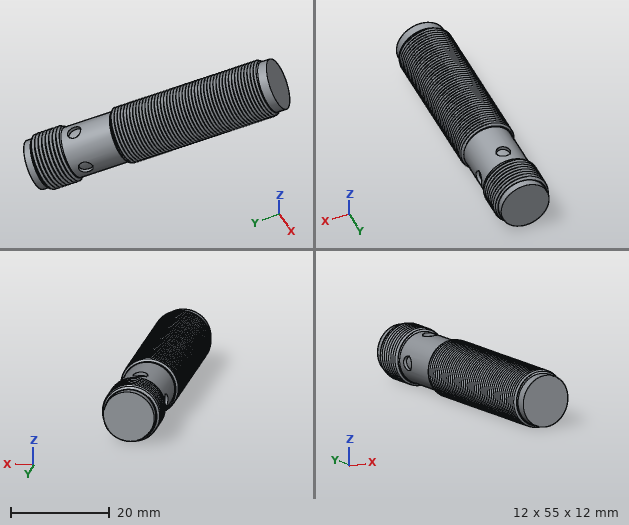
import cadquery as cq
import math

length = 55.0

body_radius = 5.4
collar_radius = 5.3
nose_length = 2.0
collar_length = 1.55

major_radius = 6.0
long_thread_start = nose_length
long_thread_end = 35.55
long_thread_turns = 48
short_thread_start = 46.5
short_thread_end = length - collar_length
short_thread_turns = 8.7
thread_root_radius = 5.45
long_thread_pitch = (long_thread_end - long_thread_start) / long_thread_turns
short_thread_pitch = (short_thread_end - short_thread_start) / short_thread_turns

recess_radius = 1.5
recess_y = 43.5
recess_depth = 0.7
recess_count = 4


def rod(start, end, radius):
    """Cylinder along +Y between two stations."""
    plane = cq.Plane(origin=(0, start, 0), xDir=(1, 0, 0), normal=(0, 1, 0))
    return cq.Workplane(plane).circle(radius).extrude(end - start)


def thread_bar(pitch, turns):
    """Right-handed V-threaded bar along +Z, each end finished as one turn of a spiral ramp."""
    profile = [
        (thread_root_radius, 0),
        (major_radius, pitch / 2),
        (thread_root_radius, pitch),
    ]

    helices = [
        cq.Wire.makeHelix(pitch, pitch, radius, cq.Vector(0, 0, z)).Edges()[0] for radius, z in profile
    ]
    turn_faces = [cq.Face.makeRuledSurface(lower, upper) for lower, upper in zip(helices, helices[1:])]
    axis_start = cq.Vector(0, 0, 0)
    axis_end = cq.Vector(0, 0, pitch)
    ramp = cq.Face.makeRuledSurface(cq.Edge.makeLine(axis_start, axis_end), helices[0])
    corners = [axis_start] + [cq.Vector(radius, 0, z) for radius, z in profile] + [axis_end]
    step = cq.Face.makeFromWires(cq.Wire.makePolygon(corners, close=True))

    faces = []
    for turn in range(turns):
        faces.extend(face.translate(cq.Vector(0, 0, turn * pitch)) for face in turn_faces)
    for end in (0, turns * pitch):
        faces.extend(face.translate(cq.Vector(0, 0, end)) for face in (ramp, step))
    return cq.Workplane(cq.Solid.makeSolid(cq.Shell.makeShell(faces)))


def threaded_rod(start, end, pitch):
    """Threaded stretch along Y whose ends are chamfered down to the body radius."""
    overrun_turns = 2
    overrun = overrun_turns * pitch
    turns = math.ceil((end - start + 2 * overrun) / pitch)
    thread = thread_bar(pitch, turns)
    thread = thread.rotate((0, 0, 0), (1, 0, 0), -90).translate((0, start - overrun, 0))
    clearance = 0.3
    envelope_radius = major_radius + clearance
    envelope = rod(start, end, envelope_radius).edges().chamfer(envelope_radius - body_radius)
    return thread.intersect(envelope)


def recesses():
    """Round pockets facing +-X and +-Z, with floors that follow the neck's curve."""
    floor = rod(long_thread_end, short_thread_start, body_radius - recess_depth)
    drill = cq.Workplane("XY").center(0, recess_y).circle(recess_radius).extrude(major_radius)
    cutters = drill
    for i in range(1, recess_count):
        cutters = cutters.union(drill.rotate((0, 0, 0), (0, 1, 0), i * 360 / recess_count))
    return cutters.cut(floor)


result = rod(0, nose_length, body_radius)
result = result.union(threaded_rod(long_thread_start, long_thread_end, long_thread_pitch))
result = result.union(rod(long_thread_end, short_thread_start, body_radius).cut(recesses()))
result = result.union(threaded_rod(short_thread_start, short_thread_end, short_thread_pitch))
result = result.union(rod(short_thread_end, length, collar_radius))